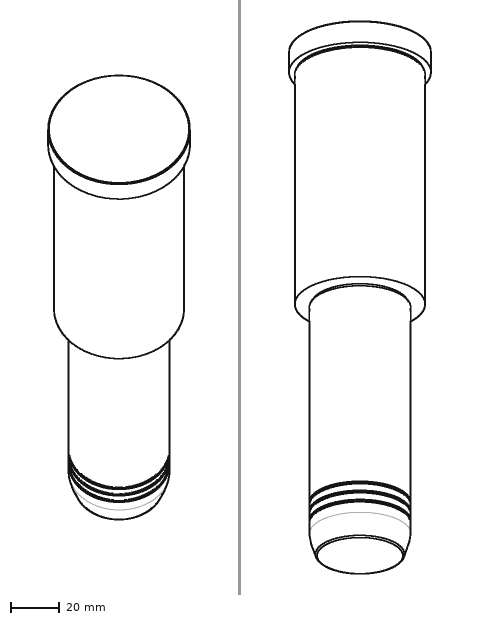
import cadquery as cq

total_length = 231.0
collar_diameter = 59.0
body_diameter = 54.0
pin_diameter = 42.0
neck_diameter = 40.2
tip_diameter = 37.0

body_bottom = 115.0
collar_thickness = 10.0
neck_height = 1.5
nose_height = 10.2

collar_chamfer = 0.5
relief_depth = 0.5
relief_height = 1.0
tip_chamfer = 0.7
nose_bulge = 0.5

groove_count = 3
groove_pitch = 4.2
groove_width = 1.0
groove_depth = 0.5
lowest_groove_bottom = 15.0


def disc(diameter, bottom, top):
    """Solid cylinder on the Z axis between two heights."""
    return cq.Workplane("XY").workplane(offset=bottom).circle(diameter / 2).extrude(top - bottom)


def ring_cut(diameter, depth, bottom, height):
    """Ring that cuts a square groove into a cylinder of the given diameter."""
    outer = disc(diameter + 2 * depth, bottom, bottom + height)
    return outer.cut(disc(diameter - 2 * depth, bottom, bottom + height))


def rounded_nose():
    """Tapered, slightly bulging lead-in with a chamfered end face."""
    pin_radius = pin_diameter / 2
    tip_radius = tip_diameter / 2
    middle_radius = (pin_radius + tip_radius) / 2 + nose_bulge
    middle_height = (nose_height + tip_chamfer) / 2
    return (
        cq.Workplane("XZ")
        .lineTo(tip_radius - tip_chamfer, 0)
        .lineTo(tip_radius, tip_chamfer)
        .threePointArc((middle_radius, middle_height), (pin_radius, nose_height))
        .lineTo(0, nose_height)
        .close()
        .revolve(360, (0, 0, 0), (0, 1, 0))
    )


collar_bottom = total_length - collar_thickness
collar = disc(collar_diameter, collar_bottom, total_length).edges(">Z").chamfer(collar_chamfer)

body = disc(body_diameter, body_bottom, collar_bottom)
body = body.cut(ring_cut(body_diameter, relief_depth, collar_bottom - relief_height, relief_height))

pin_top = body_bottom - neck_height
neck = disc(neck_diameter, pin_top, body_bottom)
pin = disc(pin_diameter, nose_height, pin_top)
for index in range(groove_count):
    groove_bottom = lowest_groove_bottom + index * groove_pitch
    pin = pin.cut(ring_cut(pin_diameter, groove_depth, groove_bottom, groove_width))

result = rounded_nose().union(pin).union(neck).union(body).union(collar)